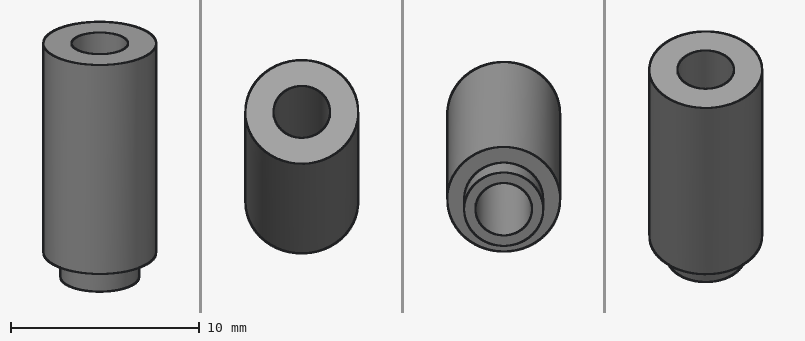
import cadquery as cq

body_diameter = 6.0
body_length = 12.0
spigot_diameter = 4.2
spigot_length = 1.4
bore_diameter = 3.0

total_length = body_length + spigot_length


def cylinder(diameter, length, base_z):
    """Cylinder about the Z axis, rising from base_z."""
    return cq.Workplane("XY").workplane(offset=base_z).circle(diameter / 2).extrude(length)


body = cylinder(body_diameter, body_length, 0)
spigot = cylinder(spigot_diameter, spigot_length, -spigot_length)

bore = cylinder(bore_diameter, total_length, -spigot_length)

result = body.union(spigot).cut(bore)